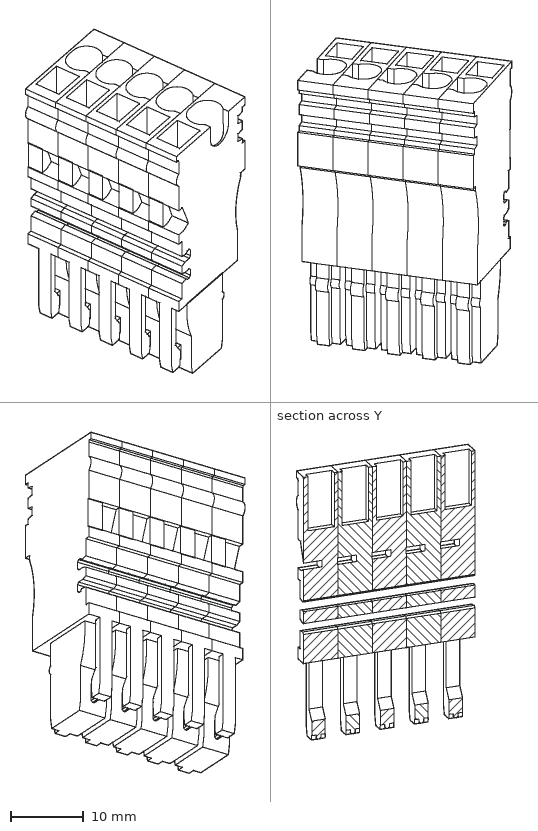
import cadquery as cq

POLE_COUNT = 5
PITCH = 5.1

HOUSING_TOP = 27.6
BACK_Y = 15.6
FOOT_BACK_Y = 13.87

FRONT_PROUD = 0.55
LIP_HEIGHT = 1.0
LIP_ROOT = (0.1, 0.28)
BEAD_Z = 23.08
BEAD_HALF_HEIGHT = 1.07
PANEL_TOP = 17.7
PANEL_BOTTOM = 13.47
PANEL_DEPTH = 0.15
BAND_TOP = 11.82
BAND_BOTTOM = 1.75
BAND_DEPTH = 0.73
BAND_MID_Z = 6.82

BACK_TEETH_MID_Z = 23.03
BACK_BLOCK_BOTTOM = 14.9
BACK_TEETH_Y = 15.0
BACK_NOTCH_Y = 14.0
GRIP_TOP = (14.63, 14.28)
GRIP_MID = (13.43, 8.9)
GRIP_BOTTOM_Z = 5.17

OPENING_DEPTH = 8.0
HOLE_X = 2.62
HOLE_Y = 9.6
HOLE_LENGTH = 5.55
HOLE_WIDTH = 4.42
NOTCH_Y = 9.57
NOTCH_RADIUS = 2.12
NOTCH_STRAIGHT = 2.24
POCKET_X = (0.56, 4.41)
POCKET_Y = (1.17, 5.98)

WINDOW_LEFT = 2.35
WINDOW_ROOF_DEPTH = 0.85
WINDOW_BACK_BEND = (1.75, 15.5)
WINDOW_DEEPEST = (2.25, 14.1)
WINDOW_FLOOR_RISE = (1.8, 13.84)
WINDOW_FLOOR_MID = (1.41, 13.6)
WINDOW_FLOOR_FLAT = 0.95

PLUG_X = (0.73, 4.99)
PLUG_MID_X = sum(PLUG_X) / 2
PLUG_BOTTOM = -13.15
PLUG_TAPER_Z = -11.6
PLUG_FRONT_Y = 2.04
PLUG_LOWER_FRONT_Y = 3.1
PLUG_CURVE_Z = (-2.0, -4.3, -6.4)
PLUG_CURVE_MID_Y = 2.38
PLUG_BACK_Y = 10.5
RIB_BACK_Y = 11.53
RIB_WIDTH = 1.8
LEAD_IN = 0.3
BUMP_Z = -4.1
PLUG_BUMP = (0.33, 0.65)
RIB_BUMP = (0.58, 0.97)

LATCH_WIDTH = 2.04
LATCH_THICKNESS = 1.02
LATCH_BOTTOM = -11.5
LATCH_HEAD_TOP = -8.75
LATCH_HEAD_Y = 2.07
LATCH_SLOPE_TOP = -7.24
LATCH_NOSE_Z = -10.07
LATCH_NOSE_Y = 0.3
LATCH_HEAD_TAPER = 0.15
BRIDGE_WIDTH = 0.74
BRIDGE_Y = (1.4, 3.3)
BRIDGE_CHAMFER = 0.25


def mirrored(points, mid_z):
    """The (y, z) points followed by their mirror image about the height mid_z."""
    return points + [(y, 2 * mid_z - z) for y, z in reversed(points)]


def side_sketch(x):
    """A YZ workplane at the given X; extruding goes toward +X."""
    return cq.Workplane("YZ", origin=(x, 0, 0))


def box_between(x_range, y_range, z_range):
    """A box given by its limits along each axis."""
    return (
        cq.Workplane("XY", origin=(x_range[0], y_range[0], z_range[0]))
        .box(
            x_range[1] - x_range[0],
            y_range[1] - y_range[0],
            z_range[1] - z_range[0],
            centered=False,
        )
    )


def centred_range(width):
    """X limits of a strip of the given width, centred on the plug."""
    return (PLUG_MID_X - width / 2, PLUG_MID_X + width / 2)


def housing_block():
    """Solid housing slice with its full side outline."""
    front_grooves = mirrored(
        [
            (BAND_DEPTH, 9.2),
            (1.75, 9.02),
            (2.04, 9.33),
            (2.48, 9.33),
            (2.77, 9.06),
            (2.77, 8.03),
            (2.48, 7.74),
            (1.46, 7.74),
            (BAND_DEPTH, 7.48),
        ],
        BAND_MID_Z,
    )
    back_teeth = mirrored(
        [
            (BACK_Y, 26.18),
            (BACK_TEETH_Y, 26.18),
            (BACK_TEETH_Y, 25.42),
            (BACK_NOTCH_Y, 25.25),
            (BACK_NOTCH_Y, 23.95),
            (BACK_TEETH_Y, 23.78),
        ],
        BACK_TEETH_MID_Z,
    )
    outline = side_sketch(0).moveTo(0, 0).lineTo(FOOT_BACK_Y, 0)
    outline = outline.lineTo(FOOT_BACK_Y, GRIP_BOTTOM_Z).threePointArc(GRIP_MID, GRIP_TOP)
    outline = outline.lineTo(GRIP_TOP[0], BACK_BLOCK_BOTTOM).lineTo(BACK_Y, BACK_BLOCK_BOTTOM)
    for y, z in reversed(back_teeth):
        outline = outline.lineTo(y, z)
    outline = (
        outline.lineTo(BACK_Y, HOUSING_TOP)
        .lineTo(-FRONT_PROUD, HOUSING_TOP)
        .lineTo(-FRONT_PROUD, HOUSING_TOP - LIP_HEIGHT)
        .lineTo(-LIP_ROOT[0], HOUSING_TOP - LIP_HEIGHT)
        .lineTo(0, HOUSING_TOP - LIP_HEIGHT - LIP_ROOT[1])
        .lineTo(0, BEAD_Z + BEAD_HALF_HEIGHT)
        .threePointArc((-FRONT_PROUD, BEAD_Z), (0, BEAD_Z - BEAD_HALF_HEIGHT))
        .lineTo(0, PANEL_TOP)
        .lineTo(PANEL_DEPTH, PANEL_TOP)
        .lineTo(PANEL_DEPTH, PANEL_BOTTOM)
        .lineTo(0, PANEL_BOTTOM)
        .lineTo(0, BAND_TOP)
        .lineTo(BAND_DEPTH, BAND_TOP)
    )
    for y, z in front_grooves:
        outline = outline.lineTo(y, z)
    outline = outline.lineTo(BAND_DEPTH, BAND_BOTTOM).lineTo(0, BAND_BOTTOM)
    return outline.close().extrude(PITCH)


def wire_hole():
    """Oval hole from the top, plus the round-bottomed notch that opens it to the +X side."""
    hole = (
        cq.Workplane("XY", origin=(HOLE_X, HOLE_Y, HOUSING_TOP))
        .slot2D(HOLE_LENGTH, HOLE_WIDTH, 90)
        .extrude(-OPENING_DEPTH)
    )
    notch_back = NOTCH_Y + NOTCH_RADIUS
    notch_front = NOTCH_Y - NOTCH_RADIUS
    arc_top = HOUSING_TOP - NOTCH_STRAIGHT
    notch = (
        side_sketch(HOLE_X)
        .moveTo(notch_back, HOUSING_TOP)
        .lineTo(notch_back, arc_top)
        .threePointArc((NOTCH_Y, arc_top - NOTCH_RADIUS), (notch_front, arc_top))
        .lineTo(notch_front, HOUSING_TOP)
        .close()
        .extrude(PITCH - HOLE_X)
    )
    return hole.union(notch)


def test_pocket():
    """Rectangular pocket from the top, in front of the wire hole."""
    return box_between(POCKET_X, POCKET_Y, (HOUSING_TOP - OPENING_DEPTH, HOUSING_TOP))


def front_window():
    """Recess in the front panel with a flat roof, a two-slope back and a floor that curves up at the rear."""
    return (
        side_sketch(WINDOW_LEFT)
        .moveTo(0, PANEL_BOTTOM)
        .lineTo(0, PANEL_TOP)
        .lineTo(WINDOW_ROOF_DEPTH, PANEL_TOP)
        .lineTo(*WINDOW_BACK_BEND)
        .lineTo(*WINDOW_DEEPEST)
        .lineTo(*WINDOW_FLOOR_RISE)
        .threePointArc(WINDOW_FLOOR_MID, (WINDOW_FLOOR_FLAT, PANEL_BOTTOM))
        .close()
        .extrude(PITCH - WINDOW_LEFT)
    )


def plug_section(x_range, back_y, bump):
    """Plug slice with a curved front, tapered tip and a round locking bump on its back."""
    bump_height, bump_half_length = bump
    return (
        side_sketch(x_range[0])
        .moveTo(PLUG_FRONT_Y, 0)
        .lineTo(PLUG_FRONT_Y, PLUG_CURVE_Z[0])
        .threePointArc((PLUG_CURVE_MID_Y, PLUG_CURVE_Z[1]), (PLUG_LOWER_FRONT_Y, PLUG_CURVE_Z[2]))
        .lineTo(PLUG_LOWER_FRONT_Y, PLUG_TAPER_Z)
        .lineTo(PLUG_LOWER_FRONT_Y + LEAD_IN, PLUG_BOTTOM)
        .lineTo(back_y - LEAD_IN, PLUG_BOTTOM)
        .lineTo(back_y, PLUG_TAPER_Z)
        .lineTo(back_y, BUMP_Z - bump_half_length)
        .threePointArc((back_y + bump_height, BUMP_Z), (back_y, BUMP_Z + bump_half_length))
        .lineTo(back_y, 0)
        .close()
        .extrude(x_range[1] - x_range[0])
    )


def plug():
    """Plug body with a narrower rib along its back."""
    body = plug_section(PLUG_X, PLUG_BACK_Y, PLUG_BUMP)
    rib = plug_section(centred_range(RIB_WIDTH), RIB_BACK_Y, RIB_BUMP)
    return body.union(rib)


def latch():
    """Latch arm hanging from the housing front, tied to the plug near its lower end."""
    arm = (
        side_sketch(centred_range(LATCH_WIDTH)[0])
        .polyline(
            [
                (0, 0),
                (LATCH_THICKNESS, 0),
                (LATCH_THICKNESS, LATCH_SLOPE_TOP),
                (LATCH_HEAD_Y, LATCH_HEAD_TOP),
                (LATCH_HEAD_Y, LATCH_NOSE_Z),
                (LATCH_HEAD_Y - LATCH_HEAD_TAPER, LATCH_BOTTOM),
                (LATCH_NOSE_Y, LATCH_BOTTOM),
                (0, LATCH_NOSE_Z),
            ]
        )
        .close()
        .extrude(LATCH_WIDTH)
    )
    bridge = (
        box_between(centred_range(BRIDGE_WIDTH), BRIDGE_Y, (LATCH_BOTTOM, LATCH_HEAD_TOP))
        .edges("|Y and <Z")
        .chamfer(BRIDGE_CHAMFER)
    )
    return arm.union(bridge)


def pole():
    """One complete pole at the start of the strip."""
    housing = housing_block().cut(wire_hole()).cut(test_pocket()).cut(front_window())
    return housing.union(plug()).union(latch())


first_pole = pole()
poles = [first_pole.translate((index * PITCH, 0, 0)) for index in range(POLE_COUNT)]

result = cq.Compound.makeCompound([each_pole.val() for each_pole in poles])